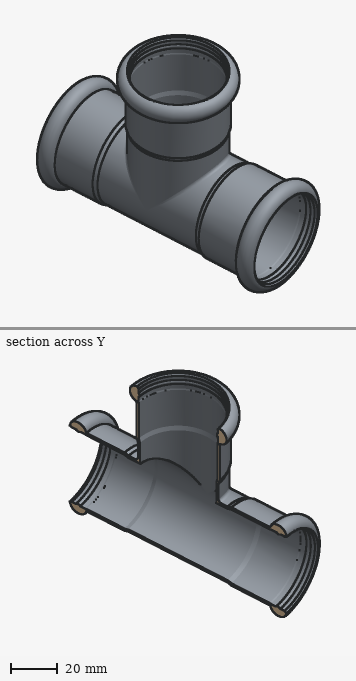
import cadquery as cq

length = 117.3
height = 90.9
run_half_length = length / 2
body_outer_radius = 44.0 / 2
body_bore_radius = 41.0 / 2
socket_outer_radius = 45.4 / 2
socket_bore_radius = 42.3 / 2
entry_radius = 42.7 / 2
mouth_radius = 44.0 / 2

bead_outer_radius = 52.7 / 2
bead_section_radius = 4.6
bead_center_radius = bead_outer_radius - bead_section_radius
branch_height = height - bead_outer_radius

seal_inner_radius = 41.6 / 2
seal_half_width = 1.2
seal_depth = bead_section_radius

bead_width = 2 * bead_section_radius
mouth_taper_depth = 1.2
entry_end = 8.5
socket_bore_start = 9.1
step_start = 29.8
step_end = 31.9
crotch_fillet = 1.4


def revolve_about_z(section):
    return section.close().revolve(360, (0, 0, 0), (0, 1, 0))


def end_outer(reach):
    """Solid outside of one end, from the tee centre up to its mouth at Z = reach."""
    section = (
        cq.Workplane("XZ")
        .lineTo(body_outer_radius, 0)
        .lineTo(body_outer_radius, reach - step_end)
        .lineTo(socket_outer_radius, reach - step_start)
        .lineTo(socket_outer_radius, reach - bead_width)
        .lineTo(bead_center_radius, reach - bead_width)
        .threePointArc((bead_outer_radius, reach - bead_section_radius), (bead_center_radius, reach))
        .lineTo(0, reach)
    )
    return revolve_about_z(section)


def end_bore(reach):
    """Hollow of one end: body bore, tapered stop, socket bore, seal lip and mouth."""
    section = (
        cq.Workplane("XZ")
        .lineTo(body_bore_radius, 0)
        .lineTo(body_bore_radius, reach - step_end)
        .lineTo(socket_bore_radius, reach - step_start)
        .lineTo(socket_bore_radius, reach - socket_bore_start)
        .lineTo(entry_radius, reach - entry_end)
        .lineTo(entry_radius, reach - seal_depth - seal_half_width)
        .threePointArc(
            (seal_inner_radius, reach - seal_depth),
            (entry_radius, reach - seal_depth + seal_half_width),
        )
        .lineTo(entry_radius, reach - mouth_taper_depth)
        .lineTo(mouth_radius, reach)
        .lineTo(0, reach)
    )
    return revolve_about_z(section)


def tee(make_end):
    """Join two run ends and the branch end."""
    run_end = make_end(run_half_length)
    shape = make_end(branch_height)
    for turn in (-90, 90):
        shape = shape.union(run_end.rotate((0, 0, 0), (0, 1, 0), turn))
    return shape


def crotch_edges(shape):
    """Upper elliptical seams where the branch meets the run."""
    seams = [edge for edge in shape.edges("%ELLIPSE").vals() if edge.Center().z > 0]
    return shape.newObject(seams)


outer = crotch_edges(tee(end_outer).clean()).fillet(crotch_fillet)

result = outer.cut(tee(end_bore))